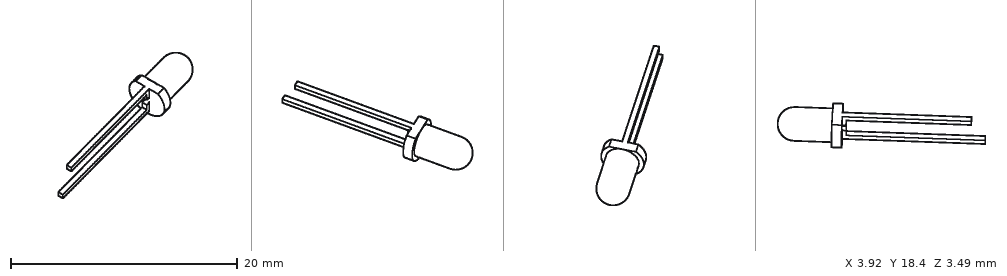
import cadquery as cq
import math

COS_45 = math.cos(math.radians(45))

total_length = 18.41
lens_radius = 1.51
lens_length = 4.86
flange_diameter = 3.92
flange_thickness = 0.88

lead_width = 0.52
lead_pitch = 2.54
foot_length = 0.35
foot_height = 1.18
foot_fillet = 0.11
short_lead_setback = 1.23

flange_radius = flange_diameter / 2
flange_front = total_length - lens_length
flange_back = flange_front - flange_thickness
lead_outer = (lead_pitch + lead_width) / 2
flat_height = lead_outer


def make_lens():
    """Revolve a cylinder with a hemispherical end about the Y axis."""
    dome_start = total_length - lens_radius
    diagonal = lens_radius * COS_45
    return (
        cq.Workplane("YZ")
        .moveTo(flange_front, 0)
        .lineTo(flange_front, lens_radius)
        .lineTo(dome_start, lens_radius)
        .threePointArc((dome_start + diagonal, diagonal), (total_length, 0))
        .close()
        .revolve(360, (0, 0, 0), (1, 0, 0))
    )


def make_flange():
    """Disc behind the lens with one flat on the +Z side."""
    disc = (
        cq.Workplane("XZ", origin=(0, flange_front, 0))
        .circle(flange_radius)
        .extrude(flange_thickness)
    )
    keep_height = flange_radius + flat_height
    keep = cq.Workplane("XY").box(
        2 * flange_radius, total_length, keep_height, centered=(True, False, False)
    )
    return disc.intersect(keep.translate((0, 0, -flange_radius)))


def make_lead(side, tip):
    """L-shaped lead with a filleted foot; side is +1 above or -1 below the axis."""
    outer = side * lead_outer
    wire_inner = side * (lead_outer - lead_width)
    foot_inner = side * (lead_outer - foot_height)
    fillet_tip = foot_inner - side * foot_fillet
    fillet_start = flange_back - foot_fillet
    arc_inset = foot_fillet * (1 - COS_45)
    arc_middle = (flange_back - arc_inset, foot_inner - side * arc_inset)
    foot_end = flange_back - foot_length
    return (
        cq.Workplane("YZ")
        .moveTo(tip, outer)
        .lineTo(flange_back, outer)
        .lineTo(flange_back, fillet_tip)
        .threePointArc(arc_middle, (fillet_start, foot_inner))
        .lineTo(foot_end, foot_inner)
        .lineTo(foot_end, wire_inner)
        .lineTo(tip, wire_inner)
        .close()
        .extrude(lead_width / 2, both=True)
    )


result = (
    make_lens()
    .union(make_flange())
    .union(make_lead(1, short_lead_setback))
    .union(make_lead(-1, 0))
    .clean()
)